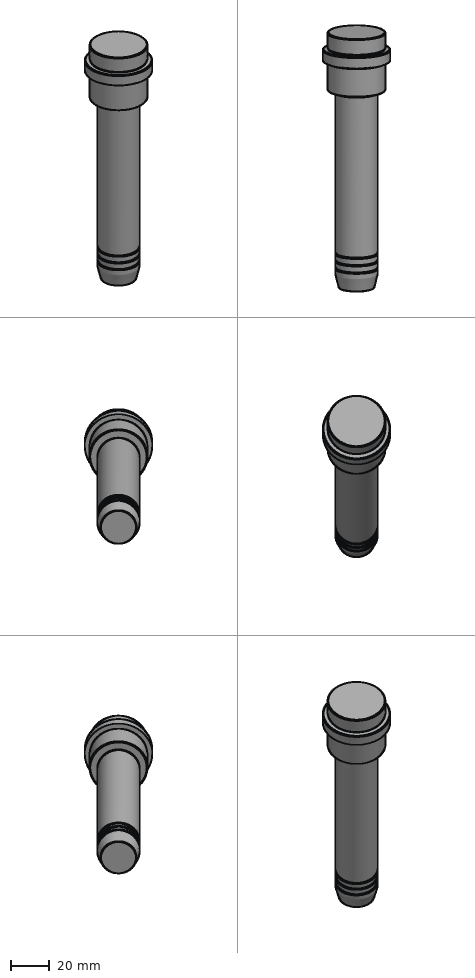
import cadquery as cq
import math

LENGTH = 136.0
FLANGE_RADIUS = 35.0 / 2
HEAD_RADIUS = 30.0 / 2
SHANK_RADIUS = 22.0 / 2

FLANGE_TOP = LENGTH - 9.0
FLANGE_BOTTOM = LENGTH - 15.0
COLLAR_BOTTOM = LENGTH - 31.0

EDGE_CHAMFER = 0.5
FLANGE_CHAMFER = 0.5
RELIEF_DEPTH = 0.4
RELIEF_FLAT = 0.4
RELIEF_TAPER = 0.7
NECK_DEPTH = 0.4
NECK_LENGTH = 1.2

GROOVE_COUNT = 3
GROOVE_PITCH = 4.0
LOWEST_GROOVE_HEIGHT = 10.5
GROOVE_WIDTH = 1.0
GROOVE_FLOOR_WIDTH = 0.4
GROOVE_DEPTH = 0.4

LEAD_IN_LENGTH = 7.3
TIP_CHAMFER = 0.4
TAPER_ANGLE = 13.5


def revolve_profile(points):
    """Turn a closed (radius, height) outline around the Z axis."""
    axis_end = (0, 1)
    return cq.Workplane("XZ").polyline(points).close().revolve(360, (0, 0), axis_end)


def make_body():
    relief_radius = HEAD_RADIUS - RELIEF_DEPTH
    neck_radius = SHANK_RADIUS - NECK_DEPTH
    neck_bottom = COLLAR_BOTTOM - NECK_LENGTH
    taper_slope = math.tan(math.radians(TAPER_ANGLE))
    tip_radius = SHANK_RADIUS - (LEAD_IN_LENGTH - TIP_CHAMFER) * taper_slope

    lead_in = [
        (0, 0),
        (tip_radius - TIP_CHAMFER, 0),
        (tip_radius, TIP_CHAMFER),
        (SHANK_RADIUS, LEAD_IN_LENGTH),
    ]
    neck = [
        (SHANK_RADIUS, neck_bottom),
        (neck_radius, neck_bottom),
        (neck_radius, COLLAR_BOTTOM),
    ]
    collar = [
        (HEAD_RADIUS - EDGE_CHAMFER, COLLAR_BOTTOM),
        (HEAD_RADIUS, COLLAR_BOTTOM + EDGE_CHAMFER),
        (HEAD_RADIUS, FLANGE_BOTTOM - RELIEF_FLAT - RELIEF_TAPER),
        (relief_radius, FLANGE_BOTTOM - RELIEF_FLAT),
        (relief_radius, FLANGE_BOTTOM),
    ]
    flange = [
        (FLANGE_RADIUS, FLANGE_BOTTOM),
        (FLANGE_RADIUS, FLANGE_TOP - FLANGE_CHAMFER),
        (FLANGE_RADIUS - FLANGE_CHAMFER, FLANGE_TOP),
    ]
    head = [
        (relief_radius, FLANGE_TOP),
        (relief_radius, FLANGE_TOP + RELIEF_FLAT),
        (HEAD_RADIUS, FLANGE_TOP + RELIEF_FLAT + RELIEF_DEPTH),
        (HEAD_RADIUS, LENGTH - EDGE_CHAMFER),
        (HEAD_RADIUS - EDGE_CHAMFER, LENGTH),
        (0, LENGTH),
    ]
    return revolve_profile(lead_in + neck + collar + flange + head)


def make_groove(height):
    """Ring cutter with sloping sides, centred on the given height."""
    floor_radius = SHANK_RADIUS - GROOVE_DEPTH
    return revolve_profile([
        (SHANK_RADIUS, height - GROOVE_WIDTH / 2),
        (floor_radius, height - GROOVE_FLOOR_WIDTH / 2),
        (floor_radius, height + GROOVE_FLOOR_WIDTH / 2),
        (SHANK_RADIUS, height + GROOVE_WIDTH / 2),
    ])


result = make_body()
for index in range(GROOVE_COUNT):
    result = result.cut(make_groove(LOWEST_GROOVE_HEIGHT + index * GROOVE_PITCH))